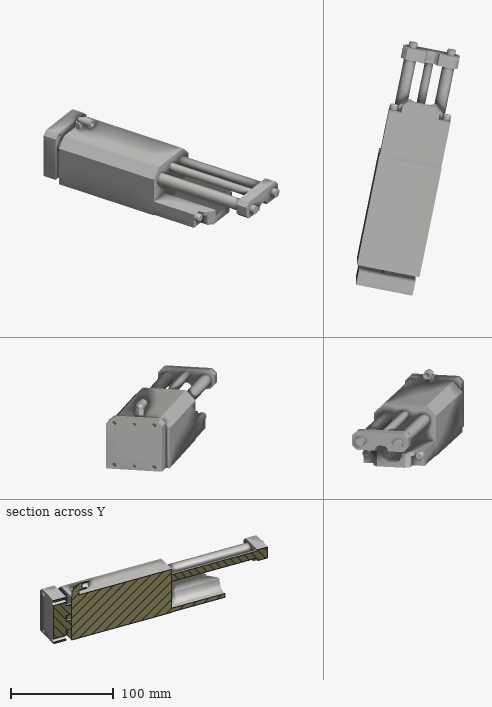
import cadquery as cq
import math


OVERALL_LENGTH = 240.0

HOUSING_START = 19.7
HOUSING_END = 129.5
HOUSING_WIDTH = 62.0
HOUSING_HEIGHT = 50.0
HOUSING_CHAMFER = 9.5

TRACK_INSET = 0.5
TRACK_WIDTH = HOUSING_WIDTH - 2 * TRACK_INSET
TRACK_BOTTOM = 0.5
TRACK_TOP = 15.4
RAIL_END = 175.7
CORE_END = 188.2
CORE_WIDTH = 43.2
CORE_CHAMFER = 7.5
CORE_LEDGE_HEIGHT = 11.5
CORE_STEP = 3.0
GROOVE_RADIUS = 11.3
GROOVE_FLOOR_WIDTH = 10.0
GROOVE_DEPTH = math.sqrt(GROOVE_RADIUS**2 - (GROOVE_FLOOR_WIDTH / 2) ** 2)

SCREW_DIAMETER = 8.0
SCREW_LENGTH = 5.3
SCREW_CHAMFER = 0.7
SCREW_OFFSET = 26.5
SCREW_HEIGHT = 11.0

FITTING_X = 24.2
FITTING_TOP = 63.0
SLEEVE_DIAMETER = 8.5
FITTING_BASE_DIAMETER = 8.0
FITTING_BASE_HEIGHT = 1.2
FITTING_HEX_TOP = 54.7
HEX_CORNER_DIAMETER = 8.5
FITTING_COLLAR_TOP = 56.6
ELBOW_DIAMETER = 5.5
NECK_START = 27.0
NECK_DIAMETER = 7.7
SLEEVE_START = 29.5
SLEEVE_END = 36.5
SLEEVE_GAP = 0.7
SLEEVE_GAP_DIAMETER = 6.2
RELEASE_RING_DIAMETER = 8.0
FITTING_END = 38.6
TUBE_DIAMETER = 5.0
TUBE_DEPTH = 7.2

PLATE_WIDTH = 56.0
PLATE_CHAMFER = 4.3
FRONT_PLATE_THICKNESS = 14.0
FRONT_PLATE_BOTTOM = 1.5
FRONT_PLATE_TOP = 51.4
REAR_PLATE_START = 223.5
REAR_PLATE_END = 235.0
REAR_PLATE_BOTTOM = 27.0
REAR_PLATE_TOP = 45.0
NOTCH_RADIUS = 5.3
NOTCH_STRETCH = 3.0

HOLE_SPACING_Y = 20.0
HOLE_LOW_Z = 5.3
HOLE_HIGH_Z = 47.3
CORNER_HOLE_DIAMETER = 4.3
MIDDLE_HOLE_DIAMETER = 3.4

GUIDE_ROD_DIAMETER = 12.0
GUIDE_ROD_OFFSET = 19.0
GUIDE_ROD_HEIGHT = 35.5
LOWER_ROD_DIAMETER = 10.5
LOWER_ROD_HEIGHT = 18.2
DRIVE_ROD_DIAMETER = 8.5
DRIVE_ROD_HEIGHT = 39.5
END_PIN_DIAMETER = 8.5
STOP_DIAMETER = 6.2
STOP_LENGTH = 1.2
STOP_OFFSET = -7.7
STOP_HEIGHT = 34.0


def rod(diameter, start, end, y, z):
    """Round bar along X."""
    return cq.Workplane("YZ", origin=(start, y, z)).circle(diameter / 2).extrude(end - start)


def post(diameter, bottom, top):
    """Round upright bar on the axis of the air fitting."""
    return cq.Workplane("XY", origin=(FITTING_X, 0, bottom)).circle(diameter / 2).extrude(top - bottom)


def slab(start, end, width, bottom, top):
    """Rectangular block centred on Y = 0."""
    return cq.Workplane("XY").box(end - start, width, top - bottom, centered=(False, True, False)).translate(
        (start, 0, bottom)
    )


def make_track():
    """Two side rails and a longer core with bevelled ends; a round groove with a flat floor on top."""
    rails = slab(HOUSING_END, RAIL_END, TRACK_WIDTH, TRACK_BOTTOM, TRACK_TOP)
    upper_core = slab(RAIL_END, CORE_END, CORE_WIDTH, CORE_LEDGE_HEIGHT, TRACK_TOP)
    upper_core = upper_core.edges("|Z and >X").chamfer(CORE_CHAMFER)
    lower_core = slab(RAIL_END, CORE_END, CORE_WIDTH - 2 * CORE_STEP, TRACK_BOTTOM, CORE_LEDGE_HEIGHT)
    lower_core = lower_core.edges("|Z and >X").chamfer(CORE_CHAMFER - CORE_STEP)
    groove = rod(2 * GROOVE_RADIUS, HOUSING_END, CORE_END, 0, TRACK_TOP).intersect(
        slab(HOUSING_END, CORE_END, CORE_WIDTH, TRACK_TOP - GROOVE_DEPTH, TRACK_TOP)
    )
    track = rails.union(upper_core).union(lower_core).cut(groove)
    for side in (-1, 1):
        screw = rod(SCREW_DIAMETER, RAIL_END, RAIL_END + SCREW_LENGTH, side * SCREW_OFFSET, SCREW_HEIGHT)
        track = track.union(screw.faces(">X").chamfer(SCREW_CHAMFER))
    return track


def make_fitting():
    """Elbow fitting: hexagon base, round elbow and a push-in sleeve along X."""
    axis_z = FITTING_TOP - SLEEVE_DIAMETER / 2
    hex_bottom = HOUSING_HEIGHT + FITTING_BASE_HEIGHT
    base = post(FITTING_BASE_DIAMETER, HOUSING_HEIGHT, hex_bottom)
    hexagon = (
        cq.Workplane("XY", origin=(FITTING_X, 0, hex_bottom))
        .polygon(6, HEX_CORNER_DIAMETER)
        .extrude(FITTING_HEX_TOP - hex_bottom)
    )
    collar = post(FITTING_BASE_DIAMETER, FITTING_HEX_TOP, FITTING_COLLAR_TOP)
    elbow_post = post(ELBOW_DIAMETER, FITTING_COLLAR_TOP, axis_z)
    elbow_ball = cq.Workplane("XY", origin=(FITTING_X, 0, axis_z)).sphere(ELBOW_DIAMETER / 2)
    elbow_arm = rod(ELBOW_DIAMETER, FITTING_X, NECK_START, 0, axis_z)
    neck = rod(NECK_DIAMETER, NECK_START, SLEEVE_START, 0, axis_z)
    sleeve = rod(SLEEVE_DIAMETER, SLEEVE_START, SLEEVE_END, 0, axis_z)
    ring_start = SLEEVE_END + SLEEVE_GAP
    gap = rod(SLEEVE_GAP_DIAMETER, SLEEVE_END, ring_start, 0, axis_z)
    release_ring = rod(RELEASE_RING_DIAMETER, ring_start, FITTING_END, 0, axis_z)
    fitting = base
    for piece in (hexagon, collar, elbow_post, elbow_ball, elbow_arm, neck, sleeve, gap, release_ring):
        fitting = fitting.union(piece)
    return fitting.cut(rod(TUBE_DIAMETER, FITTING_END - TUBE_DEPTH, FITTING_END, 0, axis_z))


def make_guide_rods():
    """Two rods that run through the housing from plate to plate."""
    rods = cq.Workplane("XY")
    for side in (-1, 1):
        rods = rods.add(
            rod(
                GUIDE_ROD_DIAMETER,
                FRONT_PLATE_THICKNESS,
                REAR_PLATE_START,
                side * GUIDE_ROD_OFFSET,
                GUIDE_ROD_HEIGHT,
            )
        )
    return rods.combine()


def make_housing():
    """Bevelled block with the track and air fitting, bored for the guide rods."""
    block = slab(HOUSING_START, HOUSING_END, HOUSING_WIDTH, 0, HOUSING_HEIGHT)
    block = block.edges("|X and >Z").chamfer(HOUSING_CHAMFER)
    return block.union(make_track()).union(make_fitting()).cut(make_guide_rods())


def make_front_plate():
    """Plate with bevelled top corners and two rows of three holes."""
    plate = slab(0, FRONT_PLATE_THICKNESS, PLATE_WIDTH, FRONT_PLATE_BOTTOM, FRONT_PLATE_TOP)
    plate = plate.edges("|X and >Z").chamfer(PLATE_CHAMFER)
    for column in (-1, 0, 1):
        diameter = CORNER_HOLE_DIAMETER if column else MIDDLE_HOLE_DIAMETER
        for z in (HOLE_LOW_Z, HOLE_HIGH_Z):
            plate = plate.cut(rod(diameter, 0, FRONT_PLATE_THICKNESS, column * HOLE_SPACING_Y, z))
    return plate


def make_rear_plate():
    """Flat bar with bevelled corners, a rounded off-centre notch below, two end pins and a stop."""
    plate = slab(REAR_PLATE_START, REAR_PLATE_END, PLATE_WIDTH, REAR_PLATE_BOTTOM, REAR_PLATE_TOP)
    plate = plate.edges("|X").chamfer(PLATE_CHAMFER)
    notch = (
        cq.Workplane("YZ", origin=(REAR_PLATE_START, NOTCH_STRETCH / 2, REAR_PLATE_BOTTOM))
        .slot2D(2 * NOTCH_RADIUS + NOTCH_STRETCH, 2 * NOTCH_RADIUS)
        .extrude(REAR_PLATE_END - REAR_PLATE_START)
    )
    plate = plate.cut(notch)
    for side in (-1, 1):
        pin_y = side * GUIDE_ROD_OFFSET
        plate = plate.union(rod(END_PIN_DIAMETER, REAR_PLATE_END, OVERALL_LENGTH, pin_y, GUIDE_ROD_HEIGHT))
    stop = rod(STOP_DIAMETER, REAR_PLATE_START - STOP_LENGTH, REAR_PLATE_START, STOP_OFFSET, STOP_HEIGHT)
    return plate.union(stop)


def make_carriage():
    """End plates on the guide rods, with centre rods that reach the housing faces."""
    upper_rod = rod(GUIDE_ROD_DIAMETER, FRONT_PLATE_THICKNESS, HOUSING_START, 0, GUIDE_ROD_HEIGHT)
    lower_rod = rod(LOWER_ROD_DIAMETER, FRONT_PLATE_THICKNESS, HOUSING_START, 0, LOWER_ROD_HEIGHT)
    drive_rod = rod(DRIVE_ROD_DIAMETER, HOUSING_END, REAR_PLATE_START, 0, DRIVE_ROD_HEIGHT)
    carriage = make_front_plate().union(make_guide_rods()).union(make_rear_plate())
    for centre_rod in (upper_rod, lower_rod, drive_rod):
        carriage = carriage.union(centre_rod)
    return carriage


housing = make_housing()
carriage = make_carriage()

result = cq.Compound.makeCompound([housing.solids().val(), carriage.solids().val()])